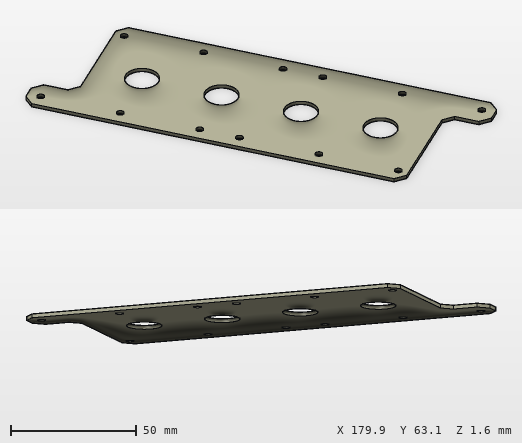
import cadquery as cq

length = 179.9
width = 63.1
thickness = 1.6

notch_depth = 18.2
tab_width = 14.0
corner_cut = 4.0

small_hole_diameter = 3.0
large_hole_diameter = 14.0
end_hole_margin = 5.5
row_offset = 25.5

end_hole_step = 5
grid_step = (length / 2 - end_hole_margin) / end_hole_step
front_row_steps = (-5, -3, -1, 0, 2, 4)
large_hole_steps = (-3, -1, 1, 3)


def half_outline():
    """Corners of the left end and front edge; a half turn gives the rest."""
    left = -length / 2
    front = -width / 2
    body_left = left + notch_depth
    body_right = -body_left
    tab_back = front + tab_width
    return [
        (body_left, -front - corner_cut),
        (body_left, tab_back + corner_cut),
        (body_left - corner_cut, tab_back),
        (left + corner_cut, tab_back),
        (left, tab_back - corner_cut),
        (left, front + corner_cut),
        (left + corner_cut, front),
        (body_right - corner_cut, front),
    ]


def half_turn(points):
    """Rotate points by 180 degrees about the plate centre."""
    return [(-x, -y) for x, y in points]


def cut_holes(plate, centres, diameter):
    """Cut through holes at the given centres."""
    return plate.faces(">Z").workplane(origin=(0, 0, 0)).pushPoints(centres).hole(diameter)


outline = half_outline()
plate = cq.Workplane("XY").polyline(outline + half_turn(outline)).close().extrude(thickness)

front_row = [(step * grid_step, -row_offset) for step in front_row_steps]
plate = cut_holes(plate, front_row + half_turn(front_row), small_hole_diameter)

large_holes = [(step * grid_step, 0) for step in large_hole_steps]
result = cut_holes(plate, large_holes, large_hole_diameter)